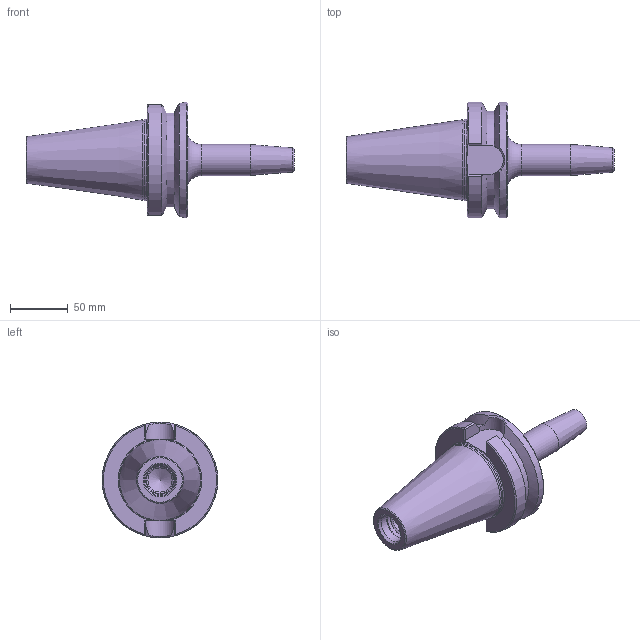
import cadquery as cq
import math

GAUGE_RADIUS = 69.85 / 2
TAPER_SLOPE = 7 / 48
TAPER_LENGTH = 101.8
PROJECTION = 130.0
SHANK_END_CHAMFER = 0.8

TAPER_BREAK = -1.0
COLLAR_START = 0.5
COLLAR_RADIUS = 35.1
COLLAR_FILLET = 1.0

FLANGE_RADIUS = 50.0
FLANGE_START = 3.0
FLANGE_END = 38.0
FLANGE_CHAMFER = 1.0
GROOVE_CENTER = 23.2
GROOVE_FLOOR_RADIUS = 42.4
GROOVE_FLOOR_WIDTH = 6.4
GROOVE_FLANK_ANGLE = 30.0

NECK_RADIUS = 13.5
NECK_FILLET = 13.0
NECK_FILLET_END = 50.0
NOSE_TAPER_LENGTH = 38.0
NOSE_TAPER_ANGLE = 4.5
TIP_CHAMFER = 1.0

SLOT_WIDTH = 25.7
SLOT_FLOOR = 35.4
SLOT_END = 34.3
SLOT_RIM_CHAMFER = 1.2
SLOT_ENTRY_CHAMFER = 0.7

MOUTH_RADIUS = 14.4
MOUTH_CHAMFER_WIDTH = 0.6
MOUTH_CHAMFER_ANGLE = 120.0
CENTER_CONE_ANGLE = 60.0
PILOT_RADIUS = 12.5
PILOT_DEPTH = 9.3
RECESS_RADIUS = 12.0
RECESS_DEPTH = 13.3
LEAD_IN_RADIUS = 11.7
THREAD_RADIUS = 10.4
THREAD_DEPTH = 45.0
DRILL_POINT_ANGLE = 118.0

SELECTION_MARGIN = 0.1

shank_end = -TAPER_LENGTH


def make_body():
    """Revolve the outer profile of the shank, flange and nose."""
    shank_end_radius = GAUGE_RADIUS - TAPER_SLOPE * TAPER_LENGTH
    groove_depth = FLANGE_RADIUS - GROOVE_FLOOR_RADIUS
    flank_length = groove_depth * math.tan(math.radians(GROOVE_FLANK_ANGLE))
    floor_start = GROOVE_CENTER - GROOVE_FLOOR_WIDTH / 2
    floor_end = GROOVE_CENTER + GROOVE_FLOOR_WIDTH / 2
    fillet_root = NECK_RADIUS + NECK_FILLET - math.sqrt(
        NECK_FILLET**2 - (NECK_FILLET_END - FLANGE_END) ** 2
    )
    nose_slope = math.tan(math.radians(NOSE_TAPER_ANGLE))
    tip_radius = NECK_RADIUS - NOSE_TAPER_LENGTH * nose_slope
    profile = (
        cq.Workplane("XY")
        .moveTo(shank_end, 0)
        .lineTo(shank_end, shank_end_radius - SHANK_END_CHAMFER)
        .lineTo(shank_end + SHANK_END_CHAMFER, shank_end_radius + TAPER_SLOPE * SHANK_END_CHAMFER)
        .lineTo(TAPER_BREAK, GAUGE_RADIUS + TAPER_SLOPE * TAPER_BREAK)
        .lineTo(COLLAR_START, COLLAR_RADIUS)
        .lineTo(FLANGE_START - COLLAR_FILLET, COLLAR_RADIUS)
        .radiusArc((FLANGE_START, COLLAR_RADIUS + COLLAR_FILLET), -COLLAR_FILLET)
        .lineTo(FLANGE_START, FLANGE_RADIUS - FLANGE_CHAMFER)
        .lineTo(FLANGE_START + FLANGE_CHAMFER, FLANGE_RADIUS)
        .lineTo(floor_start - flank_length, FLANGE_RADIUS)
        .lineTo(floor_start, GROOVE_FLOOR_RADIUS)
        .lineTo(floor_end, GROOVE_FLOOR_RADIUS)
        .lineTo(floor_end + flank_length, FLANGE_RADIUS)
        .lineTo(FLANGE_END - FLANGE_CHAMFER, FLANGE_RADIUS)
        .lineTo(FLANGE_END, FLANGE_RADIUS - FLANGE_CHAMFER)
        .lineTo(FLANGE_END, fillet_root)
        .radiusArc((NECK_FILLET_END, NECK_RADIUS), -NECK_FILLET)
        .lineTo(PROJECTION - NOSE_TAPER_LENGTH, NECK_RADIUS)
        .lineTo(PROJECTION - TIP_CHAMFER, tip_radius + TIP_CHAMFER * nose_slope)
        .lineTo(PROJECTION, tip_radius - TIP_CHAMFER)
        .lineTo(PROJECTION, 0)
        .close()
    )
    return profile.revolve(360, (0, 0, 0), (1, 0, 0))


def make_slot(side):
    """Round-ended drive slot on the +Z (side = 1) or -Z (side = -1) face."""
    half_width = SLOT_WIDTH / 2
    round_center = SLOT_END - half_width
    slot_mouth = FLANGE_START - COLLAR_FILLET
    return (
        cq.Workplane("XY")
        .workplane(offset=side * SLOT_FLOOR)
        .moveTo(slot_mouth, -half_width)
        .lineTo(round_center, -half_width)
        .threePointArc((SLOT_END, 0), (round_center, half_width))
        .lineTo(slot_mouth, half_width)
        .close()
        .extrude(side * FLANGE_RADIUS)
    )


def cone_length(radius_change, included_angle):
    """Axial length of a cone with the given change of radius."""
    return radius_change / math.tan(math.radians(included_angle / 2))


def make_bore():
    """Stepped drawbar bore with a double-cone mouth and a conical bottom."""
    cone_radius = MOUTH_RADIUS - MOUTH_CHAMFER_WIDTH
    cone_start = shank_end + cone_length(MOUTH_CHAMFER_WIDTH, MOUTH_CHAMFER_ANGLE)
    pilot_start = cone_start + cone_length(cone_radius - PILOT_RADIUS, CENTER_CONE_ANGLE)
    point_length = cone_length(THREAD_RADIUS, DRILL_POINT_ANGLE)
    pilot_step = PILOT_RADIUS - RECESS_RADIUS
    lead_in_length = LEAD_IN_RADIUS - THREAD_RADIUS
    return (
        cq.Workplane("XY")
        .moveTo(shank_end, 0)
        .lineTo(shank_end, MOUTH_RADIUS)
        .lineTo(cone_start, cone_radius)
        .lineTo(pilot_start, PILOT_RADIUS)
        .lineTo(shank_end + PILOT_DEPTH, PILOT_RADIUS)
        .lineTo(shank_end + PILOT_DEPTH + pilot_step, RECESS_RADIUS)
        .lineTo(shank_end + RECESS_DEPTH, RECESS_RADIUS)
        .lineTo(shank_end + RECESS_DEPTH, LEAD_IN_RADIUS)
        .lineTo(shank_end + RECESS_DEPTH + lead_in_length, THREAD_RADIUS)
        .lineTo(shank_end + THREAD_DEPTH, THREAD_RADIUS)
        .lineTo(shank_end + THREAD_DEPTH + point_length, 0)
        .close()
        .revolve(360, (0, 0, 0), (1, 0, 0))
    )


def make_entry_chamfer(side_y, side_z):
    """Wedge that bevels one slot wall where it meets the rear flange face."""
    wall = side_y * SLOT_WIDTH / 2
    return (
        cq.Workplane("XY")
        .workplane(offset=side_z * SLOT_FLOOR)
        .moveTo(FLANGE_START, wall)
        .lineTo(FLANGE_START + SLOT_ENTRY_CHAMFER, wall)
        .lineTo(FLANGE_START, wall + side_y * SLOT_ENTRY_CHAMFER)
        .close()
        .extrude(side_z * FLANGE_RADIUS)
    )


def chamfer_slot_rims(body):
    """Bevel the slot edges that lie on the outer cylinder of the flange."""
    half_width = SLOT_WIDTH / 2 + SELECTION_MARGIN
    slot_end = SLOT_END + SELECTION_MARGIN
    zone_bottom = math.sqrt(FLANGE_RADIUS**2 - half_width**2) - SELECTION_MARGIN
    zone_top = FLANGE_RADIUS + SELECTION_MARGIN
    upper_zone, lower_zone = [
        cq.selectors.BoxSelector(
            (FLANGE_START, -half_width, side * zone_bottom),
            (slot_end, half_width, side * zone_top),
            boundingbox=True,
        )
        for side in (1, -1)
    ]
    rim_edges = body.edges(upper_zone + lower_zone)
    return rim_edges.chamfer(SLOT_RIM_CHAMFER)


result = make_body().cut(make_bore())
for side in (1, -1):
    result = result.cut(make_slot(side))
result = chamfer_slot_rims(result)
for side_y in (1, -1):
    for side_z in (1, -1):
        result = result.cut(make_entry_chamfer(side_y, side_z))